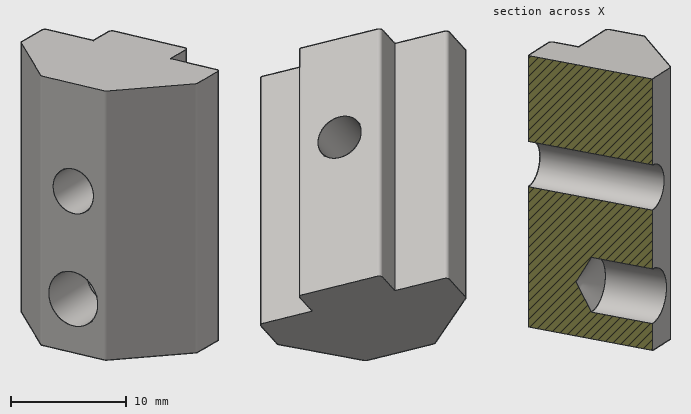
import cadquery as cq
import math

width = 18.0
depth = 12.2
length = 25.0

tongue_width = 7.9
tongue_height = 2.8
side_height = 3.7
corner_radius = 0.35

through_diameter = 4.12
through_z = 15.0
blind_diameter = 5.0
blind_z = 5.0
blind_depth = 6.0
drill_point_angle = 118.0

back_y = depth / 2
front_y = -depth / 2
shoulder_y = back_y - tongue_height
taper_y = shoulder_y - side_height
half_width = width / 2
half_tongue = tongue_width / 2
half_front = half_width - (taper_y - front_y)


def make_body():
    """Extrude the nut profile along Z and round its outer long edges."""
    right_side = [
        (half_front, front_y),
        (half_width, taper_y),
        (half_width, shoulder_y),
        (half_tongue, shoulder_y),
        (half_tongue, back_y),
    ]
    left_side = [(-x, y) for x, y in reversed(right_side)]
    body = cq.Workplane("XY").polyline(right_side + left_side).close().extrude(length)

    inner_corners = cq.selectors.BoxSelector(
        (-half_tongue - corner_radius, shoulder_y - corner_radius, 0),
        (half_tongue + corner_radius, shoulder_y + corner_radius, length),
    )
    long_edges = cq.selectors.ParallelDirSelector(cq.Vector(0, 0, 1))
    outer_edges = cq.selectors.SubtractSelector(long_edges, inner_corners)
    return body.edges(outer_edges).fillet(corner_radius)


def make_through_hole():
    """Plain cylinder through the full depth."""
    plane = cq.Workplane("XZ", origin=(0, back_y, through_z))
    return plane.circle(through_diameter / 2).extrude(depth)


def make_blind_hole():
    """Drilled hole with a conical bottom, revolved about its Y axis."""
    radius = blind_diameter / 2
    point_height = radius / math.tan(math.radians(drill_point_angle / 2))
    floor_y = front_y + blind_depth
    half_section = [
        (0, front_y),
        (radius, front_y),
        (radius, floor_y),
        (0, floor_y + point_height),
    ]
    plane = cq.Workplane("XY", origin=(0, 0, blind_z))
    return plane.polyline(half_section).close().revolve(360, (0, 0, 0), (0, 1, 0))


result = make_body().cut(make_through_hole()).cut(make_blind_hole())